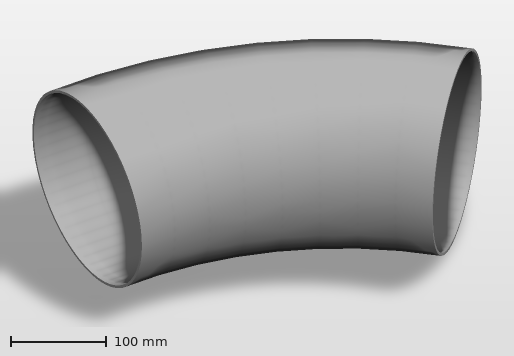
import cadquery as cq
import math

bend_angle = 45.0
overall_length = 438.0
outer_diameter = 219.0
wall_thickness = 3.0

outer_radius = outer_diameter / 2
inner_radius = outer_radius - wall_thickness

bend_radius = overall_length / math.sin(math.radians(bend_angle)) - outer_radius

result = (
    cq.Workplane("XZ")
    .circle(outer_radius)
    .circle(inner_radius)
    .revolve(bend_angle, (bend_radius, 0, 0), (bend_radius, -1, 0))
)